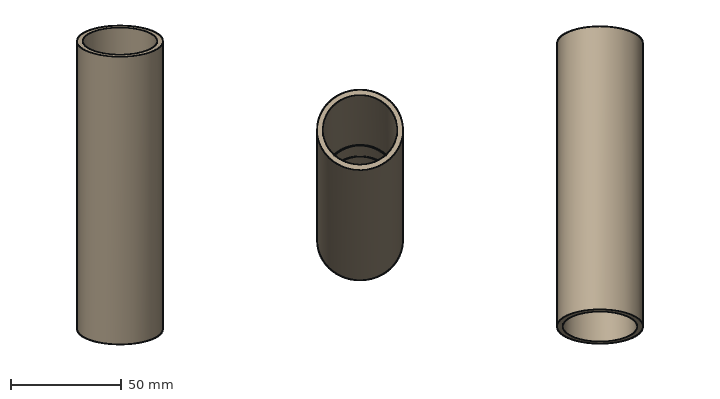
import cadquery as cq

length = 140.0
outer_diameter = 39.0
socket_wall = 2.7
stop_height = 0.4
stop_length = 14.0

socket_diameter = outer_diameter - 2 * socket_wall
stop_bore_diameter = socket_diameter - 2 * stop_height
socket_depth = (length - stop_length) / 2

result = (
    cq.Workplane("XY")
    .circle(outer_diameter / 2)
    .extrude(length)
    .faces(">Z")
    .workplane()
    .cboreHole(stop_bore_diameter, socket_diameter, socket_depth)
    .faces("<Z")
    .workplane()
    .hole(socket_diameter, socket_depth)
)